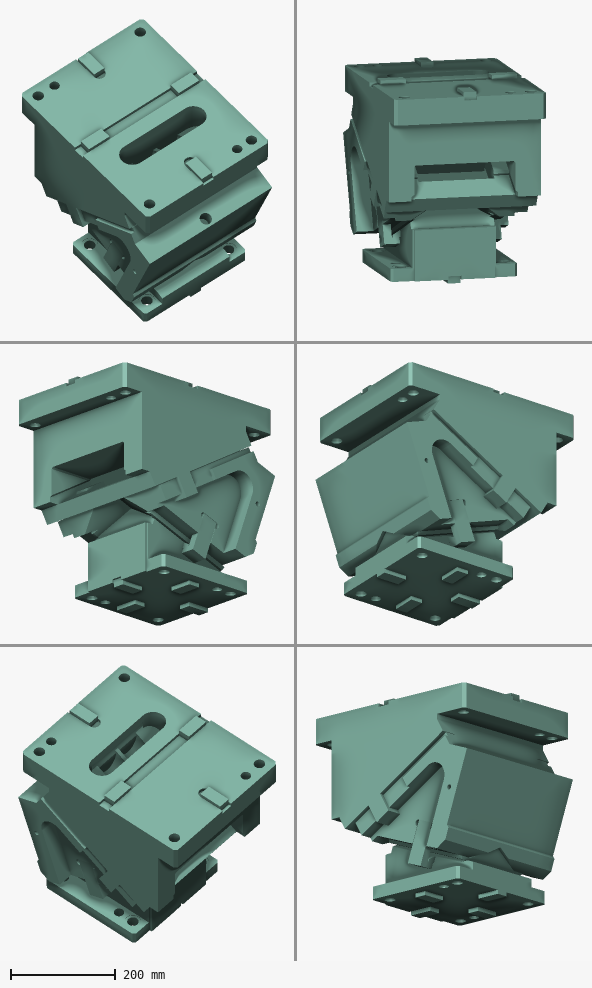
import cadquery as cq
import math

GUIDE_ANGLE = 30
SEAT_ANGLE = -20
ROOF_ANGLE = 30
FAR = 600

KEY_LENGTH = 50
KEY_WIDTH = 25
KEY_RISE = 8
KEY_SLOT_DEPTH = 7

HEIGHT = 393
PLATE_TOP = HEIGHT - KEY_RISE

WIDTH = 300
PLATE_LENGTH = 390
PLATE_THICKNESS = 50
PLATE_BOTTOM = PLATE_TOP - PLATE_THICKNESS
PLATE_CHAMFER = 6
DRIVER_LEFT = 45
DRIVER_LEFT_BOTTOM = 178
GUIDE_W = 91.5
GUIDE_U_START = 146
GUIDE_U_END = 439
GUIDE_PLATE = 30
CAVITY_FLOOR_W = GUIDE_W + GUIDE_PLATE
HOOK_U = (216, 251)
HOOK_W = 48
CROSS_KEY_X = 180.5
CROSS_KEY_Y = 110
END_KEY_X = (31, 360)
END_SLOT_X = (55.5, 334)
BOLT_INSET = 25
BOLT_DIAMETER = 22
DOWEL_DIAMETER = 20
DOWEL_LEFT_Y = -85
DOWEL_RIGHT_Y = 90
TOP_SLOT_X = 250
TOP_SLOT_LENGTH = 200
TOP_SLOT_WIDTH = 50
SLOT_FLOOR_W = 164
UNDERCUT_TOP = 365
UNDERCUT_SLOPE = 60
UNDERCUT_SETBACK = 3
UNDERCUT_LENGTH = 160
TROUGH_RADIUS = 26
TROUGH_Y = 30
WINDOW_WIDTH = 200
WINDOW_TOP = 247.5
WINDOW_CHAMFER = 3
CAVITY_U_END = 254
FLOOR_GROOVE_WIDTH = 210
FLOOR_GROOVE_W = (139.5, 142.5)
BLOCK_U = 205
BLOCK_HEIGHT = 8.5
BLOCK_CHAMFER = 4.5
OPENING_U = 196.5
OPENING_WIDTH = 150
GAP_WIDTH = 3.5
GAP_U_END = 275.5

SLIDE_HALF = 117
FLANGE_HALF = 142
FLANGE_W = (58, 90)
NOSE_U = 168
NOSE_W = 49.5
SHOULDER_U = 312
SHOULDER_W = 80
SLIDE_N = (173, 373)
SLIDE_D = 286.81
BUMP_D = 292.6
BUMP_N = (217, 221.5)
TAIL_W = -100.5
POCKET_D = 248
POCKET_RADIUS = 30
SIDE_HOLE = (266.7, 292.6)
SIDE_HOLE_DIAMETER = 10
SIDE_HOLE_DEPTH = 20
LIFT_HOLE_D = 270
LIFT_HOLE_DIAMETER = 24
LIFT_HOLE_DEPTH = 30
LIP_D = (81, 282.5)
LIP_N = 166.5
LIP_Y = (81.7, 85.5)
NOSE_GROOVE_RISE = 2.5

STRAP_D = (177, 212)
STRAP_N = (134.5, 220.5)
STRAP_Y = (85, 116)
FOOT_TOP_N = 147
FOOT_INNER_Y = 100
RELIEF_RADIUS = 6.5

BASE_X = (126, 351)
BASE_WIDTH = 250
BASE_BOTTOM = KEY_RISE
BASE_PLATE = 25
BASE_CHAMFER = 5
BLOCK_HALF = 82.5
FRONT_HALF = 79.5
FRONT_X = 121
BASE_STEP_Z = 107
SEAT_D = (93.3, 282.5)
RIDGE_N = 208.5
TAIL_Z = 54.5
TAIL_N = 166.5
WING_Y = 98
BASE_KEY_Y = 75
BASE_CROSS_KEY_X = 230.5
BASE_HOLE_Y = 100
SPOTFACE_DIAMETER = 32
SPOTFACE_DEPTH = 1
BASE_DOWEL_INSET = 60


def crossing(angle_a, height_a, angle_b, height_b):
    """Point (x, z) where two lines meet, each given by its slope angle and its height square to it."""
    a = math.radians(angle_a)
    b = math.radians(angle_b)
    turn = math.sin(b - a)
    x = (height_a * math.cos(b) - height_b * math.cos(a)) / turn
    z = (height_a * math.sin(b) - height_b * math.sin(a)) / turn
    return x, z


def guide(u, w):
    return crossing(GUIDE_ANGLE, w, GUIDE_ANGLE - 90, u)


def seat(d, n):
    return crossing(SEAT_ANGLE, n, SEAT_ANGLE - 90, d)


def guide_seat(w, n):
    """Point at guide height w and seat height n."""
    return crossing(GUIDE_ANGLE, w, SEAT_ANGLE, n)


def side_prism(points, y_from, y_to):
    """Prism of an XZ outline between two Y positions."""
    return cq.Workplane("XZ", origin=(0, y_from, 0)).polyline(points).close().extrude(y_from - y_to)


def through(points, half_width):
    return side_prism(points, -half_width, half_width)


def on_both_sides(solid):
    return solid.union(solid.mirror("XZ"))


def rect_points(to_xz, first, second):
    """Corners of a rectangle in guide or seat coordinates."""
    corners = [(first[0], second[0]), (first[1], second[0]), (first[1], second[1]), (first[0], second[1])]
    return [to_xz(a, b) for a, b in corners]


def section_plane(angle, distance):
    """Cross-section plane square to a sloping direction: its axes are Y and the height off the slope."""
    a = math.radians(angle)
    direction = (math.cos(a), 0, math.sin(a))
    origin = tuple(distance * part for part in direction)
    return cq.Plane(origin=origin, xDir=(0, 1, 0), normal=direction)


def swept(angle, start, end, points):
    """Prism of a (y, height) section along a sloping direction."""
    return cq.Workplane(section_plane(angle, start)).polyline(points).close().extrude(end - start)


def mirrored_outline(points):
    return points + [(-y, height) for y, height in reversed(points)]


def roof_n(y, ridge=RIDGE_N):
    return ridge - y * math.tan(math.radians(ROOF_ANGLE))


def roof_y(n):
    return (RIDGE_N - n) / math.tan(math.radians(ROOF_ANGLE))


def box(x_size, y_size, z_from, z_to, x=0, y=0):
    return cq.Workplane("XY", origin=(x, y, z_from)).rect(x_size, y_size).extrude(z_to - z_from)


def cylinder(x, y, diameter, z_from, z_to):
    return cq.Workplane("XY", origin=(x, y, z_from)).circle(diameter / 2).extrude(z_to - z_from)


def roof_prism(start, end, ridge):
    """Everything under the seat's roof between two distances down the seat."""
    eave = roof_n(WIDTH, ridge)
    return swept(SEAT_ANGLE, start, end, [(0, ridge), (WIDTH, eave), (-WIDTH, eave)])


def driver_shape():
    plate = box(PLATE_LENGTH, WIDTH, PLATE_BOTTOM, PLATE_TOP, x=PLATE_LENGTH / 2)
    plate = plate.edges("|Z").chamfer(PLATE_CHAMFER)
    neck = guide(GUIDE_U_END, CAVITY_FLOOR_W)
    body = through([
        (DRIVER_LEFT, PLATE_BOTTOM),
        (neck[0], PLATE_BOTTOM),
        neck,
        guide(GUIDE_U_END, GUIDE_W),
        guide(GUIDE_U_START, GUIDE_W),
        guide(GUIDE_U_START, CAVITY_FLOOR_W),
        (DRIVER_LEFT, DRIVER_LEFT_BOTTOM),
    ], WIDTH / 2)
    hook = side_prism(rect_points(guide, HOOK_U, (HOOK_W, GUIDE_W)), SLIDE_HALF, WIDTH / 2)
    return plate.union(body).union(on_both_sides(hook))


def driver_cavity():
    """Hollow behind the left window, with a wider floor groove, two side blocks and a floor opening."""
    half = WINDOW_WIDTH / 2
    window = cq.Workplane("YZ").polyline(mirrored_outline([
        (half, 0),
        (half, WINDOW_TOP - WINDOW_CHAMFER),
        (half - WINDOW_CHAMFER, WINDOW_TOP),
    ])).close().extrude(FAR)
    inside = through(rect_points(guide, (0, CAVITY_U_END), (CAVITY_FLOOR_W, FAR)), WIDTH)
    cavity = window.intersect(inside)
    groove = swept(GUIDE_ANGLE, 0, CAVITY_U_END, mirrored_outline([
        (FLOOR_GROOVE_WIDTH / 2, CAVITY_FLOOR_W),
        (FLOOR_GROOVE_WIDTH / 2, FLOOR_GROOVE_W[0]),
        (half, FLOOR_GROOVE_W[1]),
    ]))
    block_top = CAVITY_FLOOR_W + BLOCK_HEIGHT
    block = side_prism([
        guide(BLOCK_U, CAVITY_FLOOR_W),
        guide(BLOCK_U, block_top - BLOCK_CHAMFER),
        guide(BLOCK_U + BLOCK_CHAMFER, block_top),
        guide(CAVITY_U_END, block_top),
        guide(CAVITY_U_END, CAVITY_FLOOR_W),
    ], OPENING_WIDTH / 2, FLOOR_GROOVE_WIDTH / 2)
    opening = through(rect_points(guide, (OPENING_U, CAVITY_U_END), (GUIDE_W, block_top)), OPENING_WIDTH / 2)
    gap = side_prism(
        rect_points(guide, (OPENING_U, GAP_U_END), (GUIDE_W, block_top)),
        OPENING_WIDTH / 2 - GAP_WIDTH,
        OPENING_WIDTH / 2,
    )
    return cavity.union(groove).cut(on_both_sides(block)).union(opening).union(on_both_sides(gap))


def top_slot():
    """Blind slot in the plate: a floor along the guide, two round troughs in it, an undercut right wall."""
    right_wall = TOP_SLOT_X + TOP_SLOT_WIDTH / 2
    foot_x = right_wall + UNDERCUT_SETBACK
    foot_z = crossing(GUIDE_ANGLE, SLOT_FLOOR_W, 90, -foot_x)[1]
    slope = math.tan(math.radians(UNDERCUT_SLOPE))
    slot = cq.Workplane("XY", origin=(TOP_SLOT_X, 0, 0))
    slot = slot.slot2D(TOP_SLOT_LENGTH, TOP_SLOT_WIDTH, 90).extrude(PLATE_TOP)
    undercut = through([
        (right_wall, UNDERCUT_TOP),
        (foot_x + (UNDERCUT_TOP - foot_z) / slope, UNDERCUT_TOP),
        (right_wall, foot_z - UNDERCUT_SETBACK * slope),
    ], UNDERCUT_LENGTH / 2)
    above_floor = through(rect_points(guide, (0, FAR), (SLOT_FLOOR_W, FAR)), WIDTH)
    troughs = cq.Workplane(section_plane(GUIDE_ANGLE, 0))
    troughs = troughs.pushPoints([(-TROUGH_Y, SLOT_FLOOR_W), (TROUGH_Y, SLOT_FLOOR_W)])
    troughs = troughs.circle(TROUGH_RADIUS).extrude(FAR)
    outline = slot.union(undercut)
    return outline.intersect(above_floor).union(outline.intersect(troughs))


def driver_key_slots():
    bottom = PLATE_TOP - KEY_SLOT_DEPTH
    slots = box(KEY_WIDTH, WIDTH, bottom, PLATE_TOP, x=CROSS_KEY_X)
    for round_end, plate_end in zip(END_SLOT_X, (0, PLATE_LENGTH)):
        slots = slots.union(cylinder(round_end, 0, KEY_WIDTH, bottom, PLATE_TOP))
        middle = (round_end + plate_end) / 2
        slots = slots.union(box(abs(round_end - plate_end), KEY_WIDTH, bottom, PLATE_TOP, x=middle))
    return slots


def driver_keys():
    bottom = PLATE_TOP - KEY_SLOT_DEPTH
    keys = cq.Workplane("XY")
    for side in (-1, 1):
        keys = keys.union(box(KEY_WIDTH, KEY_LENGTH, bottom, HEIGHT, CROSS_KEY_X, side * CROSS_KEY_Y))
    for x in END_KEY_X:
        keys = keys.union(box(KEY_LENGTH, KEY_WIDTH, bottom, HEIGHT, x))
    return keys


def driver_holes():
    holes = cq.Workplane("XY")
    ends = (BOLT_INSET, PLATE_LENGTH - BOLT_INSET)
    for x in ends:
        for side in (-1, 1):
            y = side * (WIDTH / 2 - BOLT_INSET)
            holes = holes.union(cylinder(x, y, BOLT_DIAMETER, PLATE_BOTTOM, PLATE_TOP))
    for x, y in zip(ends, (DOWEL_LEFT_Y, DOWEL_RIGHT_Y)):
        holes = holes.union(cylinder(x, y, DOWEL_DIAMETER, PLATE_BOTTOM, PLATE_TOP))
    return holes


def make_driver():
    driver = driver_shape().cut(driver_cavity()).cut(top_slot())
    driver = driver.cut(driver_key_slots()).cut(driver_holes())
    return driver.union(driver_keys())


def slide_block():
    """Full-width slide before its sides are cut back."""
    bottom, top = SLIDE_N
    return through([
        guide(NOSE_U, GUIDE_W),
        guide(NOSE_U, NOSE_W),
        guide_seat(NOSE_W, bottom),
        guide_seat(TAIL_W, bottom),
        crossing(GUIDE_ANGLE, TAIL_W, SEAT_ANGLE - 90, BUMP_D),
        seat(BUMP_D, BUMP_N[0]),
        seat(SLIDE_D, BUMP_N[1]),
        seat(SLIDE_D, top),
        crossing(GUIDE_ANGLE - 90, GUIDE_U_END, SEAT_ANGLE, top),
        guide(GUIDE_U_END, GUIDE_W),
    ], WIDTH / 2)


def slide_side_pocket():
    """Recess in the slide's side, open to the left and below, with a round upper corner."""
    pocket = side_prism([
        crossing(GUIDE_ANGLE, FLANGE_W[0], SEAT_ANGLE - 90, POCKET_D),
        guide(0, FLANGE_W[0]),
        (0, -FAR),
        crossing(GUIDE_ANGLE, -FAR, SEAT_ANGLE - 90, POCKET_D),
    ], SLIDE_HALF, WIDTH / 2)
    corner = crossing(GUIDE_ANGLE, FLANGE_W[0], SEAT_ANGLE - 90, POCKET_D)
    nearest = cq.selectors.NearestToPointSelector((corner[0], (SLIDE_HALF + WIDTH / 2) / 2, corner[1]))
    return pocket.edges("|Y").edges(nearest).fillet(POCKET_RADIUS)


def slide_side_cuts():
    """Material taken off the +Y side: pocket, hook slot, flange side and the ledges under the guide."""
    outer = WIDTH / 2
    cuts = slide_side_pocket()
    low, high = FLANGE_W
    hook_slot = side_prism(rect_points(guide, HOOK_U, (HOOK_W, GUIDE_W)), SLIDE_HALF, outer)
    flange_side = side_prism(rect_points(guide, (NOSE_U, SHOULDER_U), (low, GUIDE_W)), FLANGE_HALF, outer)
    shoulder = side_prism(rect_points(guide, (NOSE_U, FAR), (SHOULDER_W, GUIDE_W)), FLANGE_HALF, outer)
    clearance = side_prism(rect_points(guide, (NOSE_U, FAR), (high, GUIDE_W)), SLIDE_HALF, outer)
    for cut in (hook_slot, flange_side, shoulder, clearance):
        cuts = cuts.union(cut)
    return cuts


def slide_lips():
    """Narrow strips along the lower edges of the roof groove."""
    lip = swept(SEAT_ANGLE, *LIP_D, [
        (LIP_Y[1], SLIDE_N[0]),
        (LIP_Y[0], LIP_N),
        (roof_y(LIP_N), LIP_N),
        (roof_y(SLIDE_N[0]), SLIDE_N[0]),
    ])
    return on_both_sides(lip)


def strap():
    """Retaining strap on the +Y side, with a foot that hooks under the base wing."""
    upright = side_prism(rect_points(seat, STRAP_D, STRAP_N), FOOT_INNER_Y, STRAP_Y[1])
    foot = side_prism(rect_points(seat, STRAP_D, (STRAP_N[0], FOOT_TOP_N)), STRAP_Y[0], FOOT_INNER_Y)
    return upright.union(foot)


def strap_seat():
    """Recess for the strap, with round reliefs at its upper corners."""
    recess = side_prism(rect_points(seat, STRAP_D, STRAP_N), FOOT_INNER_Y, SLIDE_HALF)
    for d in STRAP_D:
        x, z = seat(d, STRAP_N[1] - RELIEF_RADIUS)
        relief = cq.Workplane("XZ", origin=(x, FOOT_INNER_Y, z)).circle(RELIEF_RADIUS)
        recess = recess.union(relief.extrude(FOOT_INNER_Y - SLIDE_HALF))
    return recess


def slide_holes():
    x, z = seat(*SIDE_HOLE)
    side = cq.Workplane("XZ", origin=(x, WIDTH / 2, z)).circle(SIDE_HOLE_DIAMETER / 2)
    side = side.extrude(SIDE_HOLE_DEPTH)
    lift = cq.Workplane(section_plane(SEAT_ANGLE + 90, SLIDE_N[1] - LIFT_HOLE_DEPTH))
    lift = lift.center(0, -LIFT_HOLE_D).circle(LIFT_HOLE_DIAMETER / 2).extrude(LIFT_HOLE_DEPTH)
    return on_both_sides(side).union(lift)


def make_slide():
    slide = slide_block().cut(on_both_sides(slide_side_cuts())).union(slide_lips())
    slide = slide.cut(roof_prism(0, SEAT_D[0], RIDGE_N + NOSE_GROOVE_RISE))
    slide = slide.cut(roof_prism(SEAT_D[0], FAR, RIDGE_N))
    slide = slide.cut(on_both_sides(strap_seat())).union(on_both_sides(strap()))
    return slide.cut(slide_holes())


def base_block():
    """Seat block with its roof, set on a chamfered foot plate."""
    left, right = BASE_X
    plate_top = BASE_BOTTOM + BASE_PLATE
    plate = box(right - left, BASE_WIDTH, BASE_BOTTOM, plate_top, x=(left + right) / 2)
    plate = plate.edges("|Z").chamfer(BASE_CHAMFER)
    block_outline = [
        (left, BASE_BOTTOM),
        (left, BASE_STEP_Z),
        crossing(0, BASE_STEP_Z, SEAT_ANGLE - 90, SEAT_D[0]),
        seat(SEAT_D[0], RIDGE_N),
        seat(SEAT_D[1], RIDGE_N),
        crossing(0, BASE_BOTTOM, SEAT_ANGLE - 90, SEAT_D[1]),
    ]
    block = through(block_outline, BLOCK_HALF).intersect(roof_prism(0, SEAT_D[1], RIDGE_N))
    tail = through([
        crossing(0, BASE_BOTTOM, SEAT_ANGLE - 90, SEAT_D[1]),
        crossing(0, TAIL_Z, SEAT_ANGLE - 90, SEAT_D[1]),
        crossing(0, TAIL_Z, SEAT_ANGLE, TAIL_N),
        crossing(SEAT_ANGLE, TAIL_N, -90, right),
        (right, BASE_BOTTOM),
    ], BLOCK_HALF)
    front = box(left - FRONT_X, 2 * FRONT_HALF, BASE_BOTTOM, BASE_STEP_Z, x=(FRONT_X + left) / 2)
    return plate.union(block).union(tail).union(front)


def base_wings():
    """Short wings over the strap feet."""
    wing = swept(SEAT_ANGLE, *STRAP_D, [
        (BLOCK_HALF, FOOT_TOP_N),
        (BLOCK_HALF, roof_n(BLOCK_HALF)),
        (WING_Y, roof_n(WING_Y)),
        (WING_Y, FOOT_TOP_N),
    ])
    return on_both_sides(wing)


def base_keys():
    keys = cq.Workplane("XY")
    for side in (-1, 1):
        keys = keys.union(box(KEY_WIDTH, KEY_LENGTH, 0, BASE_BOTTOM, BASE_CROSS_KEY_X, side * BASE_KEY_Y))
    for x in (BASE_X[0] + KEY_LENGTH / 2, BASE_X[1] - KEY_LENGTH / 2):
        keys = keys.union(box(KEY_LENGTH, KEY_WIDTH, 0, BASE_BOTTOM + KEY_SLOT_DEPTH, x))
    return keys


def base_end_slot():
    """Open slot that shows the left key's end through the front step."""
    top = BASE_BOTTOM + KEY_SLOT_DEPTH
    return box(BASE_X[0] - FRONT_X, KEY_WIDTH, BASE_BOTTOM, top, x=(FRONT_X + BASE_X[0]) / 2)


def base_holes():
    plate_top = BASE_BOTTOM + BASE_PLATE
    left, right = BASE_X
    holes = cq.Workplane("XY")
    for x in (left + BOLT_INSET, right - BOLT_INSET):
        for y in (-BASE_HOLE_Y, BASE_HOLE_Y):
            holes = holes.union(cylinder(x, y, BOLT_DIAMETER, 0, plate_top))
            holes = holes.union(cylinder(x, y, SPOTFACE_DIAMETER, plate_top - SPOTFACE_DEPTH, plate_top))
    for x, y in ((right - BASE_DOWEL_INSET, -BASE_HOLE_Y), (left + BASE_DOWEL_INSET, BASE_HOLE_Y)):
        holes = holes.union(cylinder(x, y, DOWEL_DIAMETER, 0, plate_top))
    return holes


def make_base():
    base = base_block().union(base_wings()).cut(base_holes()).cut(base_end_slot())
    return base.union(base_keys())


driver = make_driver()
slide = make_slide()
base = make_base()

result = cq.Compound.makeCompound([*driver.vals(), *slide.vals(), *base.vals()])